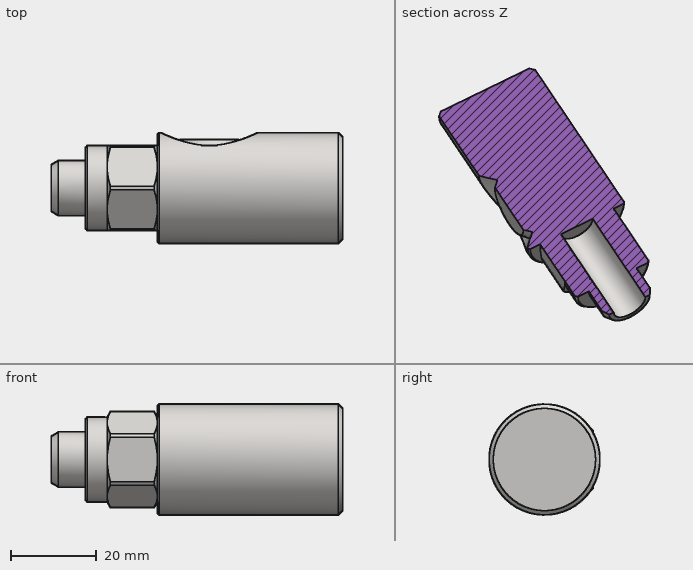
import cadquery as cq
import math

length = 68.2
collar_start = 7.9
hex_start = 13.1
body_start = 24.8

body_radius = 26.0 / 2
collar_radius = 9.95
tip_radius = body_radius / 2

tip_bevel_length = 1.7
tip_bevel_height = 1.0
collar_bevel = 0.55
body_front_bevel = 0.4
body_end_bevel = 1.0

hex_sides = 6
hex_flats = 2 * collar_radius
hex_corner_radius = 11.25
hex_bevel_angle = 30.0

bore_radius = 4.2
bore_depth = body_start

boss_x = 36.95
boss_top_y = 11.4
boss_top_radius = 6.75
groove_bottom_radius = 8.25
groove_bottom_y = boss_top_y - (groove_bottom_radius - boss_top_radius)

tool_clearance = 0.7


def bevelled_cylinder(start, end, radius, start_length=0.0, start_height=0.0, end_bevel=0.0):
    """Cylinder along X whose two rims may carry bevels."""
    outline = [(start, 0), (start, radius - start_height)]
    if start_length:
        outline.append((start + start_length, radius))
    outline.append((end - end_bevel, radius))
    if end_bevel:
        outline.append((end, radius - end_bevel))
    outline.append((end, 0))
    return cq.Workplane("XY").polyline(outline).close().revolve(360, (0, 0, 0), (1, 0, 0))


def wrench_hexagon():
    """Hexagon with flats facing +Y and -Y, its corners turned round and bevelled at both ends."""
    across_corners = hex_flats / math.cos(math.pi / hex_sides)
    prism = (
        cq.Workplane("YZ", origin=(hex_start, 0, 0))
        .transformed(rotate=(0, 0, 180 / hex_sides))
        .polygon(hex_sides, across_corners)
        .extrude(body_start - hex_start)
    )
    flat_radius = hex_flats / 2
    bevel_length = (hex_corner_radius - flat_radius) * math.tan(math.radians(hex_bevel_angle))
    envelope = (
        cq.Workplane("XY")
        .moveTo(hex_start, 0)
        .lineTo(hex_start, flat_radius)
        .lineTo(hex_start + bevel_length, hex_corner_radius)
        .lineTo(body_start - bevel_length, hex_corner_radius)
        .lineTo(body_start, flat_radius)
        .lineTo(body_start, 0)
        .close()
        .revolve(360, (0, 0, 0), (1, 0, 0))
    )
    return prism.intersect(envelope)


def side_cone(bottom_radius, top_radius, height):
    """Truncated cone about the boss axis, standing on the groove bottom and pointing to +Y."""
    return cq.Workplane(
        cq.Solid.makeCone(
            bottom_radius, top_radius, height, cq.Vector(boss_x, groove_bottom_y, 0), cq.Vector(0, 1, 0)
        )
    )


def side_recess():
    """Conical pocket on the +Y side, flaring outwards at 45 degrees from the groove bottom."""
    clear_height = body_radius + tool_clearance - groove_bottom_y
    return side_cone(groove_bottom_radius, groove_bottom_radius + clear_height, clear_height)


def side_boss():
    """Conical boss that rises from the groove bottom and narrows to its flat top."""
    return side_cone(groove_bottom_radius, boss_top_radius, boss_top_y - groove_bottom_y)


tip = bevelled_cylinder(0, collar_start, tip_radius, tip_bevel_length, tip_bevel_height)
collar = bevelled_cylinder(collar_start, hex_start, collar_radius, collar_bevel, collar_bevel)
body = bevelled_cylinder(
    body_start, length, body_radius, body_front_bevel, body_front_bevel, body_end_bevel
)
bore = cq.Workplane("YZ").circle(bore_radius).extrude(bore_depth)

fitting = tip.union(collar).union(wrench_hexagon()).union(body)
result = fitting.cut(bore).cut(side_recess()).union(side_boss())